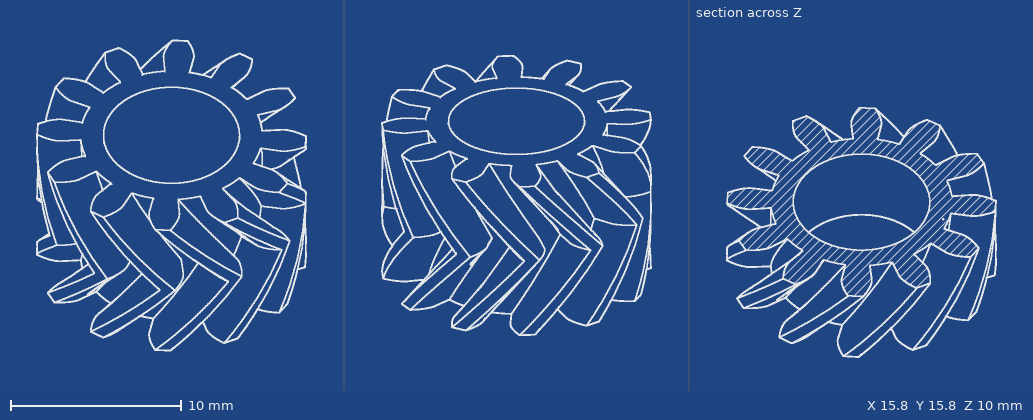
import cadquery as cq
import math

tooth_count = 12
tip_radius = 7.91
base_radius = 6.57
root_radius = 5.35
bore_diameter = 8.0
face_width = 10.0
half_twist = 32.0
base_tooth_angle = 15.7
flank_steps = 6

tooth_pitch = 2 * math.pi / tooth_count
base_half_angle = math.radians(base_tooth_angle / 2)
half_width = face_width / 2


def polar(radius, angle):
    return (radius * math.cos(angle), radius * math.sin(angle))


def involute_angle(radius):
    """Polar angle swept by the involute from the base circle to a radius."""
    pressure_angle = math.acos(base_radius / radius)
    return math.tan(pressure_angle) - pressure_angle


def flank_points(center, side):
    """Points from base to tip on one involute flank; side is -1 or +1."""
    points = []
    for step in range(flank_steps + 1):
        radius = base_radius + (tip_radius - base_radius) * step / flank_steps
        half_angle = base_half_angle - involute_angle(radius)
        points.append(polar(radius, center + side * half_angle))
    return points


def gear_outline():
    """Teeth with radial lower flanks, involute upper flanks and round tips and roots."""
    outline = cq.Workplane("XY").moveTo(*polar(root_radius, -base_half_angle))
    for tooth in range(tooth_count):
        center = tooth * tooth_pitch
        rising = flank_points(center, -1)
        falling = flank_points(center, 1)[::-1]
        gap_start = polar(root_radius, center + base_half_angle)
        gap_middle = polar(root_radius, center + tooth_pitch / 2)
        gap_end = polar(root_radius, center + tooth_pitch - base_half_angle)
        outline = (
            outline.lineTo(*rising[0])
            .spline(rising[1:], includeCurrent=True)
            .threePointArc(polar(tip_radius, center), falling[0])
            .spline(falling[1:], includeCurrent=True)
            .lineTo(*gap_start)
            .threePointArc(gap_middle, gap_end)
        )
    return outline.close()


upper_half = (
    gear_outline()
    .twistExtrude(half_width, -half_twist)
    .rotate((0, 0, 0), (0, 0, 1), half_twist)
)
lower_half = upper_half.mirror("XY")
bore = cq.Workplane("XY").circle(bore_diameter / 2).extrude(half_width, both=True)

result = upper_half.union(lower_half).cut(bore)